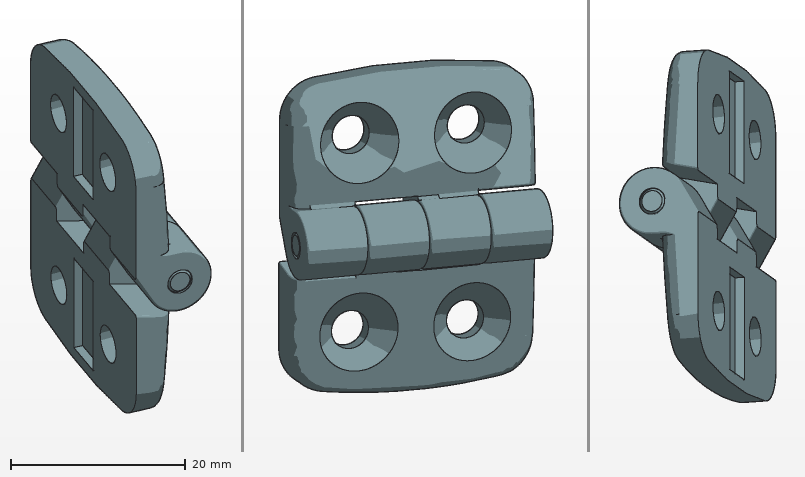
import cadquery as cq
import math

overall_width = 30.1
overall_height = 38.0
play = 0.1
leaf_width = overall_width - play
leaf_reach = overall_height / 2
mount_y = -5.5

knuckles_per_leaf = 2
knuckle_radius = 4.0
hinge_width = overall_width - 2 * play
knuckle_width = (hinge_width + play) / (2 * knuckles_per_leaf) - play
knuckle_pitch = 2 * (knuckle_width + play)
knuckle_edge_radius = 0.3
arm_top = -1.52
arm_flat = 1.1
arm_root = 2.85
arm_root_radius = 3.05
blend_radius = 0.38

crown_height = 5.13
crown_radius = 140.6
cross_crown_radius = 285.0
end_arc_radius = 74.85
corner_radius = 4.8
side_round = 2.0
end_round = 1.0
plate_top = -3.23
top_slope = 13.0

hole_spacing = 14.0
hole_z = -11.5
hole_radius = 2.25
countersink_radius = 4.85
countersink_floor = 1.85
countersink_rim = 4.7
pocket_width = 5.5
pocket_height = 12.0
pocket_depth = 1.1
pocket_z = -11.48

pin_radius = 1.52
pin_chamfer = 0.3

overcut = 0.38
crown_offset = cross_crown_radius - crown_radius
leaf_left = -hinge_width / 2
leaf_centre = leaf_left + leaf_width / 2


def about_crown_axis(profile):
    """Revolve a profile about the crown's axis, parallel to Z, with the mounting face on Y = 0."""
    turned = profile.revolve(360, (0, 0, 0), (0, 1, 0))
    return turned.translate((0, crown_height - cross_crown_radius, 0))


def crown():
    """Barrel whose surface is the plate's doubly curved back."""
    half_chord = math.sqrt(crown_radius**2 - leaf_reach**2)
    profile = (
        cq.Workplane("XZ")
        .moveTo(0, -leaf_reach)
        .lineTo(crown_offset + half_chord, -leaf_reach)
        .threePointArc((cross_crown_radius, 0), (crown_offset + half_chord, leaf_reach))
        .lineTo(0, leaf_reach)
        .close()
    )
    return about_crown_axis(profile)


def rounded_back(plate):
    """Round the back rim: wide along the sides, narrow along the end, changing at the corners."""
    rim = plate.faces(">Y").edges("not >Z")
    maker = cq.occ_impl.shapes.BRepFilletAPI_MakeFillet(plate.val().wrapped)
    maker.Add(rim.val().wrapped)
    for corner in rim.vertices().vals():
        on_side = abs(corner.X) > leaf_width / 2 - end_round
        maker.SetRadius(side_round if on_side else end_round, 1, corner.wrapped)
    return cq.Workplane(cq.Shape.cast(maker.Shape()))


def plate_body():
    """Crowned plate with its mounting face on Y = mount_y."""
    plate_length = leaf_reach + plate_top
    plate = cq.Workplane("XY").box(leaf_width, crown_height, plate_length, centered=(True, False, False))
    plate = plate.translate((0, 0, -leaf_reach))
    end_disc = cq.Workplane("XZ").center(0, end_arc_radius - leaf_reach).circle(end_arc_radius)
    plate = plate.intersect(end_disc.extrude(-crown_height))
    plate = plate.edges("|Y").edges("not >Z").fillet(corner_radius)
    plate = rounded_back(plate.intersect(crown()))
    return plate.translate((leaf_centre, mount_y, 0))


def recess(left):
    """Space above the plate's sloping edge, where the other leaf's knuckle turns."""
    back = mount_y + crown_height
    fall = crown_height * math.tan(math.radians(top_slope))
    return (
        cq.Workplane("YZ")
        .polyline([(mount_y, plate_top), (back, plate_top - fall), (back, 0), (mount_y, 0)])
        .close()
        .extrude(knuckle_width + 2 * play)
        .translate((left, 0, 0))
    )


def knuckle(left):
    """Barrel around the pin with an arm that runs down to the mounting face."""
    reach = math.hypot(mount_y, arm_top)
    tangent_angle = math.atan2(arm_top, mount_y) - math.acos(knuckle_radius / reach)
    tangent = (knuckle_radius * math.cos(tangent_angle), knuckle_radius * math.sin(tangent_angle))
    root_run = arm_root - arm_flat
    root_drop = arm_root_radius - math.sqrt(arm_root_radius**2 - root_run**2)
    root_z = -knuckle_radius - root_drop
    body = (
        cq.Workplane("YZ")
        .moveTo(0, -knuckle_radius)
        .lineTo(-arm_flat, -knuckle_radius)
        .radiusArc((-arm_root, root_z), -arm_root_radius)
        .lineTo(mount_y, root_z)
        .lineTo(mount_y, arm_top)
        .lineTo(*tangent)
        .threePointArc((knuckle_radius, 0), (0, -knuckle_radius))
        .close()
        .extrude(knuckle_width)
    )
    hidden_edges = cq.selectors.BoxSelector(
        (-overcut, mount_y - overcut, root_z - overcut),
        (knuckle_width + overcut, -arm_root, arm_top - overcut),
    )
    rim = body.faces("<X or >X").edges(cq.selectors.InverseSelector(hidden_edges))
    return rim.fillet(knuckle_edge_radius).translate((left, 0, 0))


def underside_blend(left):
    """Concave ring between the knuckle underside and the crown, swept about the crown's Z axis."""
    ball_z = -knuckle_radius - blend_radius
    ball_reach = math.sqrt((crown_radius + blend_radius) ** 2 - ball_z**2)
    touch = crown_radius / (crown_radius + blend_radius)
    touch_reach = ball_reach * touch + crown_offset
    ball_reach += crown_offset
    inner_reach = ball_reach - 2 * blend_radius
    profile = (
        cq.Workplane("XZ")
        .moveTo(ball_reach, -knuckle_radius)
        .radiusArc((touch_reach, ball_z * touch), -blend_radius)
        .lineTo(inner_reach, ball_z * touch)
        .lineTo(inner_reach, -knuckle_radius)
        .close()
    )
    ring = about_crown_axis(profile).translate((leaf_centre, mount_y, 0))
    start = max(left, leaf_left + side_round)
    reach = (left + knuckle_width - start, knuckle_radius, 2 * knuckle_radius)
    span = cq.Workplane("XY").box(*reach, centered=(False, True, True))
    return ring.intersect(span.translate((start, 0, -knuckle_radius)))


def screw_hole(x):
    """Straight hole that widens to a countersink on the crowned back."""
    rise = countersink_rim - countersink_floor
    flare = (countersink_radius - hole_radius) / rise
    top = crown_height + overcut
    top_radius = hole_radius + flare * (top - countersink_floor)
    return (
        cq.Workplane("XY")
        .moveTo(0, -overcut)
        .lineTo(hole_radius, -overcut)
        .lineTo(hole_radius, countersink_floor)
        .lineTo(top_radius, top)
        .lineTo(0, top)
        .close()
        .revolve(360, (0, 0, 0), (0, 1, 0))
        .translate((x, mount_y, hole_z))
    )


def pocket():
    block = cq.Workplane("XY").box(pocket_width, pocket_depth, pocket_height, centered=(True, False, True))
    return block.translate((leaf_centre, mount_y, pocket_z))


def pin_rod():
    """Plain rod as long as the four knuckles together, for the pin and its bore."""
    return cq.Workplane("YZ").circle(pin_radius).extrude(hinge_width / 2, both=True)


def hinge_pin():
    return pin_rod().faces("<X or >X").chamfer(pin_chamfer)


def hinge_leaf():
    """Lower leaf: plate, knuckles and the recesses between them, holes, pocket and pin bore."""
    leaf = plate_body()
    for index in range(knuckles_per_leaf):
        left = leaf_left + index * knuckle_pitch
        leaf = leaf.cut(recess(left + knuckle_width))
        leaf = leaf.union(knuckle(left)).union(underside_blend(left))
    leaf = leaf.faces(">X").edges(">Z").fillet(knuckle_edge_radius)
    for side in (-1, 1):
        leaf = leaf.cut(screw_hole(leaf_centre + side * hole_spacing / 2))
    return leaf.cut(pocket()).cut(pin_rod())


lower_leaf = hinge_leaf()
upper_leaf = lower_leaf.rotate((0, 0, 0), (0, 1, 0), 180)
pin = hinge_pin()
result = cq.Compound.makeCompound([lower_leaf.val(), upper_leaf.val(), pin.val()])